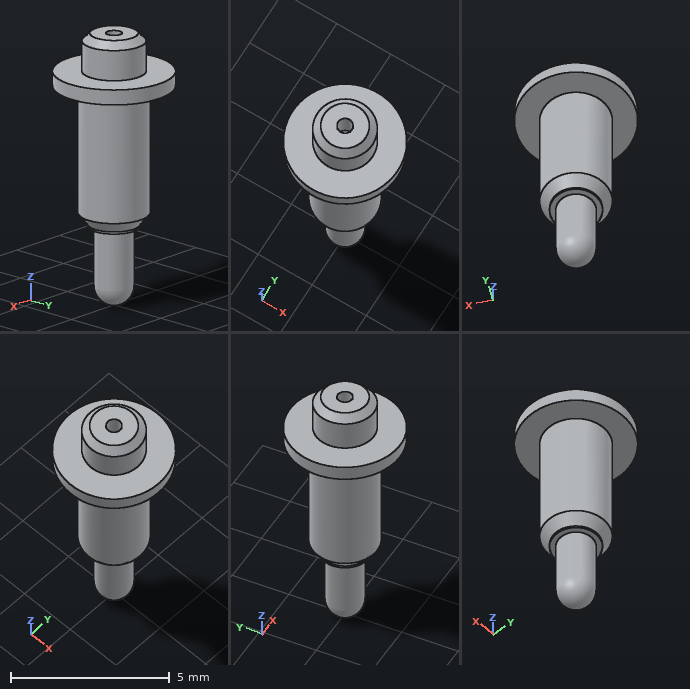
import cadquery as cq

total_length = 9.02

tail_diameter = 2.04
tail_length = 1.25
tail_chamfer = 0.25
hole_diameter = 0.505
hole_depth = 1.0

flange_diameter = 3.9
flange_thickness = 0.5

barrel_diameter = 2.3
barrel_length = 4.2
taper_length = 0.38
lip_diameter = 1.68
lip_thickness = 0.07

plunger_diameter = 1.28

top_z = total_length / 2
flange_top_z = top_z - tail_length
flange_bottom_z = flange_top_z - flange_thickness
taper_top_z = flange_bottom_z - barrel_length
lip_top_z = taper_top_z - taper_length
lip_bottom_z = lip_top_z - lip_thickness
tip_z = -total_length / 2


def disc(diameter, upper_z, lower_z):
    """Solid cylinder on the Z axis between two levels."""
    return cq.Workplane("XY").workplane(offset=lower_z).circle(diameter / 2).extrude(upper_z - lower_z)


def make_tail():
    tail = disc(tail_diameter, top_z, flange_top_z).faces(">Z").chamfer(tail_chamfer)
    return tail.cut(disc(hole_diameter, top_z, top_z - hole_depth))


def make_barrel():
    """Straight barrel, conical taper and lip as one revolved half profile."""
    barrel_radius = barrel_diameter / 2
    lip_radius = lip_diameter / 2
    return (
        cq.Workplane("XZ")
        .moveTo(0, flange_bottom_z)
        .lineTo(barrel_radius, flange_bottom_z)
        .lineTo(barrel_radius, taper_top_z)
        .lineTo(lip_radius, lip_top_z)
        .lineTo(lip_radius, lip_bottom_z)
        .lineTo(0, lip_bottom_z)
        .close()
        .revolve(360, (0, 0), (0, 1))
    )


def make_plunger():
    radius = plunger_diameter / 2
    tip_center_z = tip_z + radius
    shaft = disc(plunger_diameter, lip_bottom_z, tip_center_z)
    tip = cq.Workplane("XY").sphere(radius).translate((0, 0, tip_center_z))
    return shaft.union(tip)


flange = disc(flange_diameter, flange_top_z, flange_bottom_z)
result = make_tail().union(flange).union(make_barrel()).union(make_plunger())